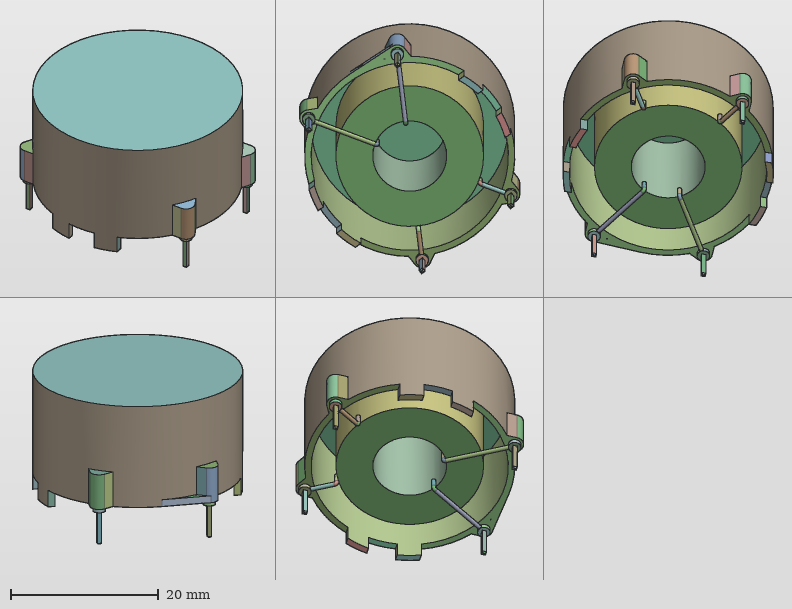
import cadquery as cq
import math

overall_height = 20.0

housing_diameter = 28.47
cavity_diameter = 26.7
housing_height = 14.58
roof_thickness = (housing_diameter - cavity_diameter) / 2
roof_underside = housing_height - roof_thickness

foot_height = 2.4
foot_near_x = 2.02
foot_far_x = 5.18

pin_x = 12.6
pin_y = 7.57
pin_width = 0.6
pin_end_z = housing_height - overall_height
pin_tip_height = 0.2
pin_tip_taper = 0.2
pin_angle = math.degrees(math.atan2(pin_y, pin_x))
pin_distance = math.hypot(pin_x, pin_y)
right_pin_angles = [pin_angle, -pin_angle]
left_pin_angles = [180 - pin_angle, 180 + pin_angle]

boss_nose_radius = 1.22
boss_height = 5.0
boss_root_distance = 13.8

web_height = 1.0

core_inner_diameter = 10.0
core_outer_diameter = 20.0
core_bottom = 0.15
lead_diameter = 0.6
lead_radius = lead_diameter / 2
lead_bend_radius = 0.35
lead_rise = 1.42
lead_bedding = 0.05
collar_diameter = 1.7
collar_height = 0.63
lead_level = -collar_height / 2
inner_lead_distance = core_inner_diameter / 2 - lead_radius + lead_bedding
outer_lead_distance = core_outer_diameter / 2 + lead_radius - lead_bedding


def cylinder(diameter, bottom, top):
    return cq.Workplane("XY").workplane(offset=bottom).circle(diameter / 2).extrude(top - bottom)


def turned(shape, angle):
    """Turn a shape that was built along +X to the given direction."""
    return shape.rotate((0, 0, 0), (0, 0, 1), angle)


def make_boss():
    """Boss along +X: a round nose between two flanks that widen towards the wall."""
    flank = math.radians(pin_angle)
    nose_x = pin_distance + boss_nose_radius * math.sin(flank)
    nose_y = boss_nose_radius * math.cos(flank)
    root_y = nose_y + (nose_x - boss_root_distance) * math.tan(flank)
    return (
        cq.Workplane("XY")
        .moveTo(boss_root_distance, -root_y)
        .lineTo(nose_x, -nose_y)
        .threePointArc((pin_distance + boss_nose_radius, 0), (nose_x, nose_y))
        .lineTo(boss_root_distance, root_y)
        .close()
        .extrude(boss_height)
    )


def make_feet():
    ring = cylinder(housing_diameter, -foot_height, 0).cut(cylinder(cavity_diameter, -foot_height, 0))
    middle_x = (foot_near_x + foot_far_x) / 2
    slabs = (
        cq.Workplane("XY")
        .pushPoints([(-middle_x, 0), (middle_x, 0)])
        .rect(foot_far_x - foot_near_x, housing_diameter)
        .extrude(-foot_height)
    )
    return ring.intersect(slabs)


def make_web():
    """Triangle on the common tangent of the housing and the front left boss nose."""
    housing_radius = housing_diameter / 2
    spread = math.acos((housing_radius - boss_nose_radius) / pin_distance)
    normal = math.radians(180 + pin_angle) - spread
    normal_x = math.cos(normal)
    normal_y = math.sin(normal)
    return (
        cq.Workplane("XY")
        .moveTo(housing_radius * normal_x, housing_radius * normal_y)
        .lineTo(-pin_x + boss_nose_radius * normal_x, -pin_y + boss_nose_radius * normal_y)
        .lineTo(-pin_x, -pin_y)
        .close()
        .extrude(web_height)
    )


def make_housing():
    shell = cylinder(housing_diameter, 0, housing_height)
    shell = shell.cut(cylinder(cavity_diameter, 0, roof_underside))
    for angle in right_pin_angles + left_pin_angles:
        shell = shell.union(turned(make_boss(), angle))
    return shell.union(make_web()).union(make_feet())


def make_lead(end_distance):
    """Lead along +X: from the pin inwards below the rim, then bent up beside the core."""
    path = (
        cq.Workplane("XZ")
        .moveTo(pin_distance, lead_level)
        .lineTo(end_distance + lead_bend_radius, lead_level)
        .radiusArc((end_distance, lead_level + lead_bend_radius), lead_bend_radius)
        .lineTo(end_distance, lead_rise)
    )
    start = cq.Workplane("YZ", origin=(pin_distance, 0, lead_level))
    return start.circle(lead_radius).sweep(path)


def make_pin():
    """Square pin with a tapered tip, standing below the origin."""
    tip_start = pin_end_z + pin_tip_height
    tip_width = pin_width - 2 * pin_tip_taper
    shank = cq.Workplane("XY").rect(pin_width, pin_width).extrude(tip_start)
    tip = (
        cq.Workplane("XY", origin=(0, 0, tip_start))
        .rect(pin_width, pin_width)
        .workplane(offset=-pin_tip_height)
        .rect(tip_width, tip_width)
        .loft(ruled=True)
    )
    return shank.union(tip)


def make_terminal(angle):
    """Collar and pin in their place below the boss; the pin's sides stay along X and Y."""
    x = pin_distance * math.cos(math.radians(angle))
    y = pin_distance * math.sin(math.radians(angle))
    collar = cylinder(collar_diameter, -collar_height, 0)
    return collar.union(make_pin()).translate((x, y, 0))


def make_coil():
    """Core with leads and pins: left leads enter its hole, right leads meet its rim."""
    core = cylinder(core_outer_diameter, core_bottom, roof_underside)
    coil = core.cut(cylinder(core_inner_diameter, core_bottom, roof_underside))
    for angle in left_pin_angles:
        coil = coil.union(turned(make_lead(inner_lead_distance), angle))
    for angle in right_pin_angles:
        coil = coil.union(turned(make_lead(outer_lead_distance), angle))
    for angle in left_pin_angles + right_pin_angles:
        coil = coil.union(make_terminal(angle))
    return coil


housing = make_housing()
coil = make_coil()

result = cq.Compound.makeCompound([housing.solids().val(), coil.solids().val()])